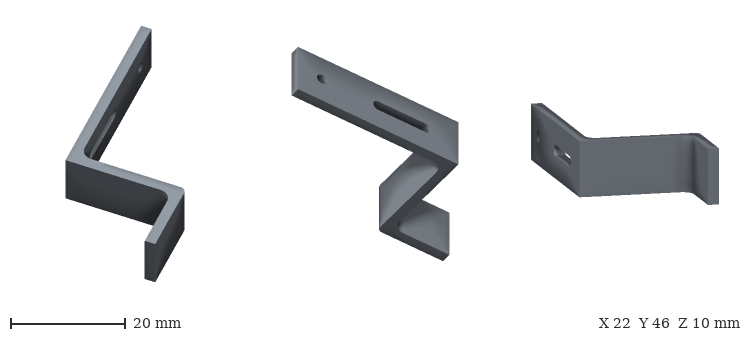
import cadquery as cq

total_length = 46.0
total_width = 22.0
height = 10.0
thickness = 2.0
long_leg_length = 34.0
inner_radius = thickness
outer_radius = 1.0
hole_diameter = 2.0
hole_from_end = 5.0
slot_from_end = 22.0
slot_length = 12.0
slot_width = 2.0

web_front = total_length - long_leg_length
web_back = web_front + thickness
short_leg_left = total_width - thickness


def round_edge(body, x, y, radius):
    """Round the vertical edge nearest to (x, y)."""
    edge = cq.selectors.NearestToPointSelector((x, y, height / 2))
    return body.edges("|Z").edges(edge).fillet(radius)


def leg_face(distance_from_end):
    """Workplane on the outer face of the long leg, at mid height."""
    return cq.Workplane("YZ", origin=(0, total_length - distance_from_end, height / 2))


bracket = (
    cq.Workplane("XY")
    .moveTo(0, web_front)
    .lineTo(short_leg_left, web_front)
    .lineTo(short_leg_left, 0)
    .lineTo(total_width, 0)
    .lineTo(total_width, web_back)
    .lineTo(thickness, web_back)
    .lineTo(thickness, total_length)
    .lineTo(0, total_length)
    .close()
    .extrude(height)
)

bracket = round_edge(bracket, thickness, web_back, inner_radius)
bracket = round_edge(bracket, short_leg_left, web_front, inner_radius)
bracket = round_edge(bracket, total_width, web_back, outer_radius)

hole = leg_face(hole_from_end).circle(hole_diameter / 2).extrude(thickness)
slot = leg_face(slot_from_end).slot2D(slot_length, slot_width).extrude(thickness)

result = bracket.cut(hole).cut(slot)